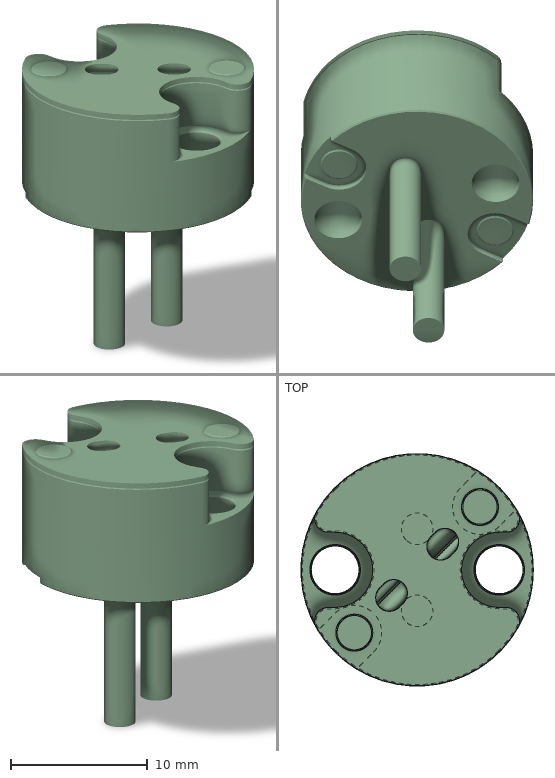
import cadquery as cq
import math

BODY_DIAMETER = 17.0
BODY_RADIUS = BODY_DIAMETER / 2
BODY_HEIGHT = 9.4
SEAT_HEIGHT = 5.5
CAP_THICKNESS = 0.4
EDGE_CHAMFER = 0.1

MOUNT_HOLE_DIAMETER = 3.5
MOUNT_HOLE_OFFSET = 6.0
RECESS_RADIUS = 2.75
HORN_RADIUS = 1.0

DIAGONAL_ANGLE = 45.0
RIVET_OFFSET = 6.5
RIVET_HEAD_DIAMETER = 2.7
RIVET_HEAD_HEIGHT = 0.1
RIVET_HEAD_CHAMFER = 0.09
NOTCH_WIDTH = 4.0
NOTCH_DEPTH = 0.5

SOCKET_SPACING = 5.3
SOCKET_WIDTH = 2.0
SOCKET_LENGTH = 2.45
SOCKET_DEPTH = 6.0
JAW_DEPTH = 0.6
JAW_TOP_DIAMETER = 0.92
WIDE_JAW_CENTER = 0.65
WIDE_JAW_SLOPE = 58.0
JAW_GAP = 0.15
JAW_GAP_OFFSET = 0.3

WIRE_DIAMETER = 2.3
WIRE_OFFSET = 3.0
WIRE_LENGTH = 11.5


def cylinder(diameter, height, x, y, z):
    return cq.Workplane("XY").center(x, y).circle(diameter / 2).extrude(height).translate((0, 0, z))


def turned_about_z(shape, angle):
    return shape.rotate((0, 0, 0), (0, 0, 1), angle)


def on_both_sides(shape):
    """The shape together with its copy turned half a turn about Z."""
    return shape.union(turned_about_z(shape, 180))


def disc_with_recesses(height):
    """Disc with a round-ended recess at each side, its mouth rounded into the outer circle."""
    horn_y = RECESS_RADIUS + HORN_RADIUS
    horn_centre_distance = BODY_RADIUS - HORN_RADIUS
    horn_x = math.sqrt(horn_centre_distance**2 - horn_y**2)
    tip_x = horn_x * BODY_RADIUS / horn_centre_distance
    tip_y = horn_y * BODY_RADIUS / horn_centre_distance
    horn_mid_x = horn_x + HORN_RADIUS * math.sqrt(0.5)
    horn_mid_y = horn_y - HORN_RADIUS * math.sqrt(0.5)
    recess_end_x = MOUNT_HOLE_OFFSET - RECESS_RADIUS

    outline = (
        cq.Workplane("XY")
        .moveTo(tip_x, tip_y)
        .threePointArc((0, BODY_RADIUS), (-tip_x, tip_y))
        .threePointArc((-horn_mid_x, horn_mid_y), (-horn_x, RECESS_RADIUS))
        .lineTo(-MOUNT_HOLE_OFFSET, RECESS_RADIUS)
        .threePointArc((-recess_end_x, 0), (-MOUNT_HOLE_OFFSET, -RECESS_RADIUS))
        .lineTo(-horn_x, -RECESS_RADIUS)
        .threePointArc((-horn_mid_x, -horn_mid_y), (-tip_x, -tip_y))
        .threePointArc((0, -BODY_RADIUS), (tip_x, -tip_y))
        .threePointArc((horn_mid_x, -horn_mid_y), (horn_x, -RECESS_RADIUS))
        .lineTo(MOUNT_HOLE_OFFSET, -RECESS_RADIUS)
        .threePointArc((recess_end_x, 0), (MOUNT_HOLE_OFFSET, RECESS_RADIUS))
        .lineTo(horn_x, RECESS_RADIUS)
        .threePointArc((horn_mid_x, horn_mid_y), (tip_x, tip_y))
        .close()
    )
    return outline.extrude(height)


def make_body():
    """Round base, recessed upper part with a chamfered rim, and the flush cap above it."""
    cap_bottom = BODY_HEIGHT - CAP_THICKNESS
    full_profile = disc_with_recesses(cap_bottom)
    recesses = cylinder(2 * BODY_DIAMETER, cap_bottom, 0, 0, 0).cut(full_profile)
    recesses = recesses.translate((0, 0, SEAT_HEIGHT))
    body = cylinder(BODY_DIAMETER, cap_bottom, 0, 0, 0).cut(recesses)
    body = body.faces("<Z").edges().chamfer(EDGE_CHAMFER)
    body = body.faces(">Z").edges().chamfer(EDGE_CHAMFER)
    cap = disc_with_recesses(CAP_THICKNESS).translate((0, 0, cap_bottom))
    return body.union(cap)


def make_mount_hole():
    """Cutter for one mounting hole, widened by a chamfer at the recess floor."""
    radius = MOUNT_HOLE_DIAMETER / 2
    profile = (
        cq.Workplane("XZ")
        .lineTo(radius, 0)
        .lineTo(radius, SEAT_HEIGHT - EDGE_CHAMFER)
        .lineTo(radius + EDGE_CHAMFER, SEAT_HEIGHT)
        .lineTo(0, SEAT_HEIGHT)
        .close()
    )
    return profile.revolve(360, (0, 0, 0), (0, 1, 0)).translate((MOUNT_HOLE_OFFSET, 0, 0))


def make_notch():
    """Cutter for a bottom notch, round around the rivet and open to the outside."""
    round_end = cylinder(NOTCH_WIDTH, NOTCH_DEPTH, RIVET_OFFSET, 0, 0)
    mouth = cq.Workplane("XY").box(BODY_RADIUS, NOTCH_WIDTH, NOTCH_DEPTH, centered=(False, True, False))
    notch = round_end.union(mouth.translate((RIVET_OFFSET, 0, 0)))
    return turned_about_z(notch, DIAGONAL_ANGLE)


def make_rivet_heads():
    """The upper and lower head of one rivet."""
    top = cylinder(RIVET_HEAD_DIAMETER, RIVET_HEAD_HEIGHT, RIVET_OFFSET, 0, BODY_HEIGHT)
    top = top.faces(">Z").edges().chamfer(RIVET_HEAD_CHAMFER)
    bottom = cylinder(RIVET_HEAD_DIAMETER, RIVET_HEAD_HEIGHT, RIVET_OFFSET, 0, NOTCH_DEPTH - RIVET_HEAD_HEIGHT)
    bottom = bottom.faces("<Z").edges().chamfer(RIVET_HEAD_CHAMFER)
    return turned_about_z(top.union(bottom), DIAGONAL_ANGLE)


def make_jaws(floor):
    """Two contact jaws along X with rounded tops; the wide one slopes down to the gap between them."""
    radius = JAW_TOP_DIAMETER / 2
    axis_height = BODY_HEIGHT - JAW_DEPTH - radius
    narrow_inner_y = -JAW_GAP_OFFSET - JAW_GAP / 2
    narrow_outer_y = narrow_inner_y - JAW_TOP_DIAMETER
    narrow = (
        cq.Workplane("YZ")
        .moveTo(narrow_outer_y, floor)
        .lineTo(narrow_outer_y, axis_height)
        .threePointArc((narrow_outer_y + radius, axis_height + radius), (narrow_inner_y, axis_height))
        .lineTo(narrow_inner_y, floor)
        .close()
        .extrude(SOCKET_LENGTH / 2, both=True)
    )

    wide_inner_y = -JAW_GAP_OFFSET + JAW_GAP / 2
    slope = math.radians(WIDE_JAW_SLOPE)
    flank_top_y = WIDE_JAW_CENTER - radius * math.sin(slope)
    flank_top_z = axis_height + radius * math.cos(slope)
    flank_bottom_z = flank_top_z - (flank_top_y - wide_inner_y) * math.tan(slope)
    wide_outer_y = WIDE_JAW_CENTER + radius
    wide = (
        cq.Workplane("YZ")
        .moveTo(wide_inner_y, floor)
        .lineTo(wide_inner_y, flank_bottom_z)
        .lineTo(flank_top_y, flank_top_z)
        .threePointArc((WIDE_JAW_CENTER, axis_height + radius), (wide_outer_y, axis_height))
        .lineTo(wide_outer_y, floor)
        .close()
        .extrude(SOCKET_LENGTH / 2, both=True)
    )
    return narrow.union(wide)


def make_socket():
    """Cutter for one pin socket: the slot less its two contact jaws."""
    floor = BODY_HEIGHT - SOCKET_DEPTH
    slot = cq.Workplane("XY").slot2D(SOCKET_LENGTH, SOCKET_WIDTH).extrude(SOCKET_DEPTH)
    slot = slot.translate((0, 0, floor)).cut(make_jaws(floor))
    return turned_about_z(slot.translate((SOCKET_SPACING / 2, 0, 0)), DIAGONAL_ANGLE)


def make_wire():
    return cylinder(WIRE_DIAMETER, WIRE_LENGTH, 0, WIRE_OFFSET, -WIRE_LENGTH)


result = make_body()
for cutter in (make_mount_hole(), make_notch(), make_socket()):
    result = result.cut(on_both_sides(cutter))
for addition in (make_rivet_heads(), make_wire()):
    result = result.union(on_both_sides(addition))